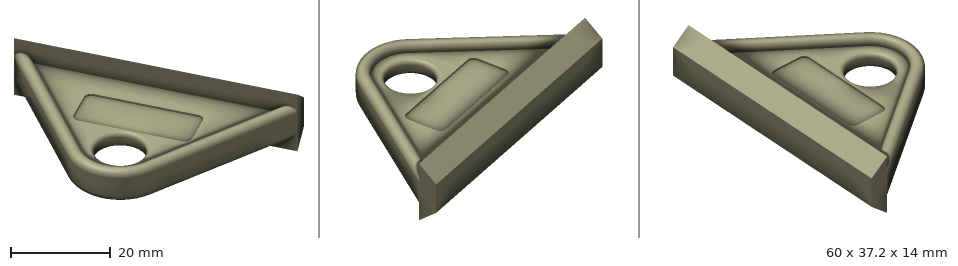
import cadquery as cq
import math

rail_length = 60.0
rail_depth = 4.15
rail_front_height = 14.0
rail_back_height = 7.0

tip_radius = 11.0
tip_center_y = -22.0
rim_width = 3.0
rim_height = 7.5
rim_radius = rim_width / 2
web_thickness = 3.5

hole_diameter = 10.5
hole_rounding = 1.0

pocket_length = 25.1
pocket_width = 9.6
pocket_depth = 0.5
pocket_corner_radius = 1.5
pocket_rail_gap = 6.05
pocket_center_y = -pocket_rail_gap - pocket_width / 2

half_length = rail_length / 2
corner_to_tip = math.hypot(half_length, tip_center_y)
side_angle = math.atan2(-tip_center_y, half_length) + math.asin(tip_radius / corner_to_tip)
side_length = math.sqrt(corner_to_tip**2 - tip_radius**2)

center_radius = tip_radius - rim_radius
overrun = rim_width
tangent_x = center_radius * math.sin(side_angle)
tangent_y = tip_center_y - center_radius * math.cos(side_angle)
start_x = tangent_x + (side_length + overrun) * math.cos(side_angle)
start_y = tangent_y + (side_length + overrun) * math.sin(side_angle)


def rim_center_line():
    return (
        cq.Workplane("XY")
        .moveTo(-start_x, start_y)
        .lineTo(-tangent_x, tangent_y)
        .threePointArc((0, tip_center_y - center_radius), (tangent_x, tangent_y))
        .lineTo(start_x, start_y)
    )


def make_rail():
    front = rail_front_height / 2
    back = rail_back_height / 2
    return (
        cq.Workplane("YZ")
        .polyline([(0, -front), (rail_depth, -back), (rail_depth, back), (0, front)])
        .close()
        .extrude(half_length, both=True)
    )


def make_rim():
    """Sweep a round-ended bar section along the rim's center line."""
    section_plane = cq.Plane(
        origin=(-start_x, start_y, 0),
        xDir=(0, 0, 1),
        normal=(math.cos(side_angle), -math.sin(side_angle), 0),
    )
    return cq.Workplane(section_plane).slot2D(rim_height, rim_width).sweep(rim_center_line())


def make_web():
    web = rim_center_line().close().extrude(web_thickness / 2, both=True)
    hole = (
        cq.Workplane("XY")
        .center(0, tip_center_y)
        .circle(hole_diameter / 2)
        .extrude(web_thickness, both=True)
    )
    web = web.cut(hole)
    hole_edges = web.faces("|Z").edges(cq.selectors.RadiusNthSelector(0))
    return hole_edges.fillet(hole_rounding)


def make_pocket():
    return (
        cq.Workplane("XY", origin=(0, pocket_center_y, web_thickness / 2 - pocket_depth))
        .rect(pocket_length, pocket_width)
        .extrude(pocket_depth)
        .edges("|Z")
        .fillet(pocket_corner_radius)
    )


trim_size = 2 * rail_length
behind_rail_face = cq.Workplane("XY").box(trim_size, trim_size, trim_size).translate((0, trim_size / 2, 0))

plate = make_web().union(make_rim()).cut(behind_rail_face).cut(make_pocket())
result = make_rail().union(plate)